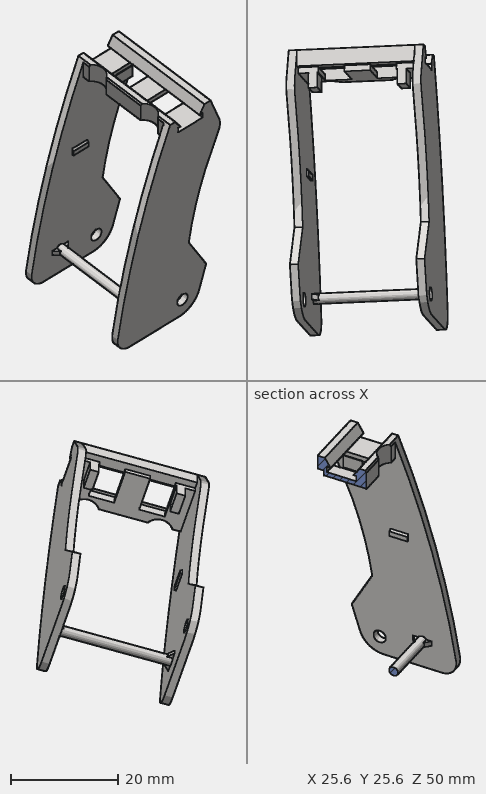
import cadquery as cq

width = 25.6
depth = 25.65
height = 49.95
plate_thickness = 1.6
inner_half_width = width / 2 - plate_thickness

floor_z = 46.85
jaw_tip_z = 47.95
slot_front = 15.15
slot_back = 21.3
jaw_front_tip = 15.75
jaw_back_tip = 20.5
jaw_front_crest = 14.45
jaw_back_crest = 21.75
top_front = 13.15
top_back = 23.3
beam_front = 12.95
beam_bottom = 45.75
floor_back = 22.05

window_width = 5
window_center_x = 4.95

scallop_radius = 2.8
scallop_center_x = 7.2
scallop_depth = 1.35

prong_width = 1.7
prong_center_x = 8.45
prong_bottom = 42.9
prong_front = 18
prong_back = floor_back

foot_radius = 2.95
heel_radius = 5.4
shoulder_radius = 3.75
shoulder_y = 25.9
shoulder_z = 42.6
heel_y = 19.25
toe_z = 3.55
front_curve_mid = (5, 26.4)
heel_corner = (22.2, 9.25)
waist_corner = (17.85, 17.3)
back_curve_mid = (19.4, 24.98)
back_curve_top = (22, 33.25)

pivot_y = 16.25
pivot_z = 3.8
pivot_diameter = 2.6

rod_y = 7.2
rod_z = 5.95
rod_radius = 1
collar_half_length = 2
collar_reach = 1.45
collar_height = 1.05

ledge_front = 10.15
ledge_back = 13.95
ledge_bottom = 27.85
ledge_top = 29.3
ledge_reach = 0.4


def box(x_range, y_range, z_range):
    """Box between the given limits on each axis."""
    return cq.Workplane("XY").box(
        x_range[1] - x_range[0], y_range[1] - y_range[0], z_range[1] - z_range[0], centered=False
    ).translate((x_range[0], y_range[0], z_range[0]))


def side_profile():
    """Full-width solid with the side outline, including the clamp jaws."""
    outline = (
        cq.Workplane("YZ", origin=(-width / 2, 0, 0))
        .moveTo(top_front, height)
        .threePointArc(front_curve_mid, (0, toe_z))
        .lineTo(0, 0)
        .lineTo(heel_y, 0)
        .lineTo(*heel_corner)
        .lineTo(*waist_corner)
        .threePointArc(back_curve_mid, back_curve_top)
        .lineTo(shoulder_y, shoulder_z)
        .lineTo(top_back, height)
        .lineTo(jaw_back_crest, height)
        .lineTo(jaw_back_tip, jaw_tip_z)
        .lineTo(slot_back, jaw_tip_z)
        .lineTo(slot_back, floor_z)
        .lineTo(slot_front, floor_z)
        .lineTo(slot_front, jaw_tip_z)
        .lineTo(jaw_front_tip, jaw_tip_z)
        .lineTo(jaw_front_crest, height)
        .close()
    )
    body = outline.extrude(width)
    body = round_corner(body, 0, 0, foot_radius)
    body = round_corner(body, heel_y, 0, heel_radius)
    return round_corner(body, shoulder_y, shoulder_z, shoulder_radius)


def round_corner(body, y, z, radius):
    """Fillet the X-direction edge that passes through (y, z)."""
    return body.edges(cq.selectors.NearestToPointSelector((0, y, z))).fillet(radius)


def frame():
    """Two side plates joined only by the top beam."""
    body = side_profile()
    inner = (-inner_half_width, inner_half_width)
    body = body.cut(box(inner, (-depth, 2 * depth), (-height, beam_bottom)))
    body = body.cut(box(inner, (-depth, beam_front), (-height, 2 * height)))
    body = body.cut(box(inner, (top_back, 2 * depth), (-height, 2 * height)))
    body = body.cut(box(inner, (floor_back, 2 * depth), (-height, floor_z)))
    pivot = (
        cq.Workplane("YZ", origin=(-width / 2, pivot_y, pivot_z))
        .circle(pivot_diameter / 2)
        .extrude(width)
    )
    return body.cut(pivot)


def windows_and_scallops():
    """Material removed from the beam on both sides of the centre plane."""
    scallop_y = beam_front + scallop_depth - scallop_radius
    cuts = (
        cq.Workplane("XY", origin=(0, scallop_y, beam_bottom))
        .pushPoints([(-scallop_center_x, 0), (scallop_center_x, 0)])
        .circle(scallop_radius)
        .extrude(height - beam_bottom)
    )
    for x in (-window_center_x, window_center_x):
        x_range = (x - window_width / 2, x + window_width / 2)
        cuts = cuts.union(box(x_range, (slot_front, floor_back), (beam_bottom, floor_z)))
    return cuts


def prong(x):
    """Prong hanging from the underside of the beam."""
    x_range = (x - prong_width / 2, x + prong_width / 2)
    return box(x_range, (prong_front, prong_back), (prong_bottom, beam_bottom))


def rod():
    """Cross rod between the plates."""
    return (
        cq.Workplane("YZ", origin=(-inner_half_width, rod_y, rod_z))
        .circle(rod_radius)
        .extrude(2 * inner_half_width)
    )


def collar(side):
    """Pair of triangular gussets tying the rod to one plate."""
    wall = side * inner_half_width
    return (
        cq.Workplane("XY", origin=(0, rod_y, rod_z - collar_height / 2))
        .moveTo(wall, -collar_half_length)
        .lineTo(wall - side * collar_reach, -collar_half_length + collar_reach)
        .lineTo(wall - side * collar_reach, collar_half_length - collar_reach)
        .lineTo(wall, collar_half_length)
        .close()
        .extrude(collar_height)
    )


def ledge(side):
    """Wedge-shaped ledge on the inner face of one plate."""
    wall = side * inner_half_width
    tip = wall - side * ledge_reach
    return (
        cq.Workplane("XZ", origin=(0, ledge_back, 0))
        .moveTo(wall, ledge_top)
        .lineTo(tip, ledge_top - ledge_reach)
        .lineTo(tip, ledge_bottom)
        .lineTo(wall, ledge_bottom)
        .close()
        .extrude(ledge_back - ledge_front)
    )


result = frame().cut(windows_and_scallops()).union(rod())
for side in (-1, 1):
    result = result.union(prong(side * prong_center_x)).union(collar(side)).union(ledge(side))